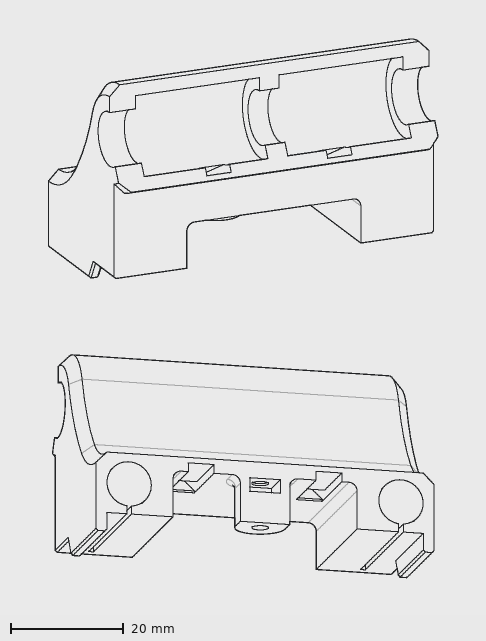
import cadquery as cq
import math

LENGTH = 62.0
HEIGHT = 39.0
DEPTH = 29.0
TIP_X = 32.0
FRONT_HEIGHT = 14.5
OVERRUN = 3.1
TOLERANCE = 0.005

RING_RADIUS = 10.0
BORE_RADIUS = 5.0
LIP_ANGLE = math.radians(-60)
BORE_X = TIP_X - RING_RADIUS * math.cos(LIP_ANGLE)
BORE_Z = HEIGHT - RING_RADIUS
BEARING_RADIUS = 7.5
BEARING_LENGTH = 24.0
BEARING_GAP = 3.85

FOOT_RADIUS = 12.6
FOOT_ANGLE = math.radians(44.8)
CREST_ANGLE = math.radians(70)
END_CHAMFER = 2.0

WALL_THICKNESS = 2.0
BASE_Z = 3.4
WALL_FOOT_X = 18.05
WALL_SLOPE = math.radians(60)
FOOT_CHAMFER = 0.4

CAVITY_WIDTH = 33.7
CAVITY_TOP = 11.9
CAVITY_FILLET = 1.5
POST_WIDTH = 9.05
POST_STRAIGHT = 3.5
NUT_WIDTH = 5.6
NUT_HEIGHT = 2.5
NUT_BOTTOM = 9.05
NUT_DEPTH = POST_STRAIGHT + NUT_WIDTH / 2
SCREW_DIAMETER = 3.0

SOCKET_DIAMETER = 8.1
SOCKET_Y = 24.9
SOCKET_Z = 8.9
SOCKET_DEPTH = DEPTH - WALL_THICKNESS
SLIT_WIDTH = 0.85

STRAP_Y = 11.7
STRAP_WIDTH = 4.7
STRAP_ROOF_Z = 13.5
STRAP_SILL_Z = 12.2
STRAP_RADIUS = 9.0
STRAP_THICKNESS = 1.85
STRAP_SLOPE = math.radians(27)


def around_bore(radius, angle):
    """Point (x, z) at a polar position about the bore axis."""
    return BORE_X + radius * math.cos(angle), BORE_Z + radius * math.sin(angle)


def on_foot_arc(angle):
    """Point (x, z) of the foot arc where its slope equals the angle."""
    return FOOT_RADIUS * math.sin(angle), FRONT_HEIGHT + FOOT_RADIUS * (1 - math.cos(angle))


def cylinder_along_y(radius, y_start, length):
    plane = cq.Workplane("XZ", origin=(BORE_X, y_start, BORE_Z))
    return plane.circle(radius).extrude(-length)


def make_block():
    """Side outline run along Y, with its curved rim chamfered at both ends."""
    foot_end = on_foot_arc(FOOT_ANGLE)
    crest_start = around_bore(RING_RADIUS, math.pi / 2 + CREST_ANGLE)

    chord = math.dist(foot_end, crest_start)
    half_turn = (CREST_ANGLE - FOOT_ANGLE) / 2
    sagitta = chord / 2 * math.tan(half_turn / 2)
    chord_x = (crest_start[0] - foot_end[0]) / chord
    chord_z = (crest_start[1] - foot_end[1]) / chord
    middle = (
        (foot_end[0] + crest_start[0]) / 2 + sagitta * chord_z,
        (foot_end[1] + crest_start[1]) / 2 - sagitta * chord_x,
    )

    lip_root_angle = -math.acos((DEPTH - BORE_X) / RING_RADIUS)
    step_x = WALL_FOOT_X + BASE_Z / math.tan(WALL_SLOPE)
    block = (
        cq.Workplane("XZ", origin=(0, LENGTH / 2, 0))
        .moveTo(0, 0)
        .lineTo(0, FRONT_HEIGHT)
        .threePointArc(on_foot_arc(FOOT_ANGLE / 2), foot_end)
        .threePointArc(middle, crest_start)
        .threePointArc(around_bore(RING_RADIUS, math.pi / 2 + CREST_ANGLE / 2), (BORE_X, HEIGHT))
        .lineTo(BORE_X, BORE_Z)
        .lineTo(*around_bore(RING_RADIUS, LIP_ANGLE))
        .threePointArc(
            around_bore(RING_RADIUS, (LIP_ANGLE + lip_root_angle) / 2),
            around_bore(RING_RADIUS, lip_root_angle),
        )
        .lineTo(DEPTH, BASE_Z)
        .lineTo(step_x, BASE_Z)
        .lineTo(WALL_FOOT_X, 0)
        .close()
        .extrude(LENGTH)
    )
    return block.faces("<Y or >Y").edges("%CIRCLE").chamfer(END_CHAMFER)


def make_underside_recess():
    """Space between the end walls, below the base."""
    width = LENGTH - 2 * WALL_THICKNESS
    return cq.Workplane("XY").box(DEPTH, width, BASE_Z, centered=(False, True, False))


def chamfer_wall_feet(body):
    """Break the lower edges on both sides of each end wall."""
    wall_inside_y = LENGTH / 2 - WALL_THICKNESS

    def is_foot_edge(edge):
        box = edge.BoundingBox()
        runs_along_wall = box.ylen < TOLERANCE < box.xlen
        is_low = box.zmax < BASE_Z + TOLERANCE
        on_outside = abs(edge.Center().y) > wall_inside_y + TOLERANCE
        below_base = edge.Center().z < BASE_Z - TOLERANCE
        return runs_along_wall and is_low and (on_outside or below_base)

    foot_edges = [edge for edge in body.edges().vals() if is_foot_edge(edge)]
    return body.newObject(foot_edges).chamfer(FOOT_CHAMFER)


def make_bore():
    """Rod bore with two wider bearing pockets."""
    bore = cylinder_along_y(BORE_RADIUS, -LENGTH / 2, LENGTH)
    for start in (BEARING_GAP / 2, -BEARING_GAP / 2 - BEARING_LENGTH):
        bore = bore.union(cylinder_along_y(BEARING_RADIUS, start, BEARING_LENGTH))
    return bore


def make_cavity():
    """Belt cavity open below, leaving a round-ended post at the front."""
    height = CAVITY_TOP - BASE_Z + OVERRUN
    base = cq.Workplane("XY", origin=(0, 0, BASE_Z - OVERRUN))
    post = base.box(POST_STRAIGHT, POST_WIDTH, height, centered=(False, True, False))
    post = post.union(base.center(POST_STRAIGHT, 0).circle(POST_WIDTH / 2).extrude(height))
    cavity = base.box(DEPTH, CAVITY_WIDTH, height, centered=(False, True, False)).cut(post)
    return cavity.faces(">Z").edges("|X or %CIRCLE").fillet(CAVITY_FILLET)


def make_nut_trap():
    """Nut slot in the front of the post and the upright screw hole through it."""
    slot = cq.Workplane("XY", origin=(0, 0, NUT_BOTTOM)).box(
        NUT_DEPTH, NUT_WIDTH, NUT_HEIGHT, centered=(False, True, False)
    )
    screw = (
        cq.Workplane("XY", origin=(POST_STRAIGHT, 0, BASE_Z))
        .circle(SCREW_DIAMETER / 2)
        .extrude(CAVITY_TOP - BASE_Z)
    )
    return slot.union(screw)


def make_socket(y):
    """Blind rod socket with a clamping slit down to the underside."""
    front = cq.Workplane("YZ").center(y, SOCKET_Z)
    socket = front.circle(SOCKET_DIAMETER / 2).extrude(SOCKET_DEPTH)
    drop = SOCKET_Z - BASE_Z
    slit = front.center(0, -drop / 2).rect(SLIT_WIDTH, drop).extrude(SOCKET_DEPTH)
    return socket.union(slit)


def make_strap_channel(y):
    """Level slot behind the front face, then a slope that wraps under the bearing pocket."""
    floor_angle = STRAP_SLOPE - math.pi / 2
    floor_end = around_bore(STRAP_RADIUS, floor_angle)
    roof_end = around_bore(STRAP_RADIUS - STRAP_THICKNESS, floor_angle)
    rise = math.tan(STRAP_SLOPE)
    sill_x = floor_end[0] - (floor_end[1] - STRAP_SILL_Z) / rise
    roof_start_x = roof_end[0] - (roof_end[1] - STRAP_ROOF_Z) / rise
    mouth_angle = LIP_ANGLE + STRAP_SLOPE
    return (
        cq.Workplane("XZ", origin=(0, y + STRAP_WIDTH / 2, 0))
        .moveTo(0, CAVITY_TOP)
        .lineTo(sill_x + (STRAP_SILL_Z - CAVITY_TOP) * rise, CAVITY_TOP)
        .lineTo(sill_x, STRAP_SILL_Z)
        .lineTo(*floor_end)
        .threePointArc(
            around_bore(STRAP_RADIUS, (floor_angle + mouth_angle) / 2),
            around_bore(STRAP_RADIUS, mouth_angle),
        )
        .lineTo(*roof_end)
        .lineTo(roof_start_x, STRAP_ROOF_Z)
        .lineTo(0, STRAP_ROOF_Z)
        .close()
        .extrude(STRAP_WIDTH)
    )


body = make_block().cut(make_underside_recess())
body = chamfer_wall_feet(body)
body = body.cut(make_bore()).cut(make_cavity()).cut(make_nut_trap())
for side in (-1, 1):
    body = body.cut(make_socket(side * SOCKET_Y))
    body = body.cut(make_strap_channel(side * STRAP_Y))

result = cq.Workplane(body.solids().val())